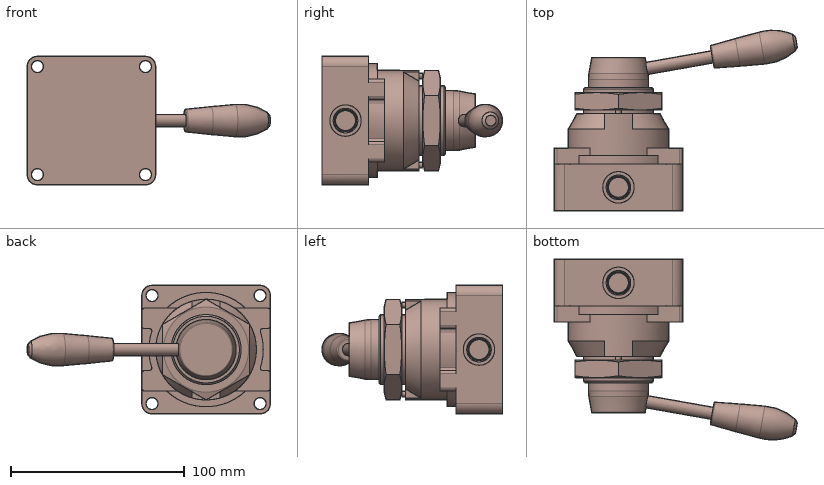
import cadquery as cq
import math


block_side = 74.0
block_depth = 26.9
block_corner_radius = 6.0
mount_hole_pitch = 62.1
mount_hole_diameter = 6.7

port_height = 13.6
port_diameter = 12.7
port_end_diameter = 11.5
port_depth = 16.8
port_chamfer = 0.7
port_spotface_diameter = 18.0
port_spotface_depth = 0.1

flange_radius = 32.9
flange_top = 31.9
lug_top = 36.1
flange_half_width = 22.7
lug_half_width = math.sqrt(flange_radius**2 - flange_half_width**2)
lug_edge_radius = 1.8
notch_half_width = 12.0
notch_root_radius = 1.4
notch_root_reach = math.sqrt(flange_radius**2 - notch_half_width**2)

barrel_radius = 29.0
cone_start = 47.0
cone_top_radius = 24.0
shoulder_top = 56.0
ridge_width = 16.0
neck_radius = 20.2
neck_top = 71.1
neck_chamfer = 1.0
pin_diameter = 3.4
pin_offset = 25.6

nut_bottom = 58.0
nut_top = 68.2
nut_across_flats = 50.1
nut_corner_radius = nut_across_flats / math.sqrt(3)
nut_turn = 30.0
nut_face_radius = 24.5
nut_chamfer_height = 1.1

hub_radius = 17.4
hub_straight_top = 75.7
hub_taper_start = 79.1
hub_taper_radius = 17.1
hub_top = 88.3
hub_top_radius = 15.4
hub_edge_radius = 0.4

lever_tilt = 10.0
lever_height = 79.1
rod_diameter = 7.1
grip_start = 54.7
grip_start_radius = 6.6
grip_start_fillet = 0.7
grip_cone_end = 69.7
grip_cone_radius = 8.1
grip_swell = 83.8
grip_swell_radius = 9.4
grip_belly = 93.1
grip_belly_radius = 8.8
grip_nose = 102.5
grip_nose_radius = 4.9
grip_end = 104.0
grip_end_radius = 3.1


def along_y(start):
    """Workplane at Y = start with local X = X, local Y = Z and extrusion toward +Y."""
    return cq.Workplane(cq.Plane(origin=(0, start, 0), xDir=(1, 0, 0), normal=(0, -1, 0)))


def disc(radius, start, end):
    return along_y(start).circle(radius).extrude(start - end)


def plate(width, height, start, end):
    return along_y(start).rect(width, height).extrude(start - end)


def make_block():
    block = plate(block_side, block_side, 0, block_depth).edges("|Y").fillet(block_corner_radius)
    holes = (
        along_y(0)
        .rect(mount_hole_pitch, mount_hole_pitch, forConstruction=True)
        .vertices()
        .circle(mount_hole_diameter / 2)
        .extrude(-block_depth)
    )
    return block.cut(holes)


def make_port():
    """Cutter for one tapered port with a shallow spotface, entering from the -X side."""
    hole_radius = port_diameter / 2
    end_radius = port_end_diameter / 2
    spotface_radius = port_spotface_diameter / 2
    cone_top = port_spotface_depth
    cone_bottom = cone_top + port_chamfer
    profile = [
        (0, 0),
        (0, spotface_radius),
        (cone_top, spotface_radius),
        (cone_top, hole_radius + port_chamfer),
        (cone_bottom, hole_radius),
        (port_depth, end_radius),
        (port_depth, 0),
    ]
    cutter = cq.Workplane("XY").polyline(profile).close().revolve(360, (0, 0), (1, 0))
    return cutter.translate((-block_side / 2, port_height, 0))


def make_flange():
    """Two round segments on the Z sides, beyond the lugs."""
    lug_band = plate(block_side, 2 * lug_half_width, block_depth, flange_top)
    return disc(flange_radius, block_depth, flange_top).cut(lug_band)


def make_lugs():
    """Lugs reaching the two X sides, with a notch in each side that has the flange curve as floor."""
    lugs = plate(block_side, 2 * lug_half_width, block_depth, lug_top)
    notches = plate(block_side, 2 * notch_half_width, block_depth, lug_top)
    notches = notches.cut(disc(flange_radius, block_depth, lug_top))
    lugs = lugs.cut(notches)
    lugs = lugs.edges("|Y").edges("<X or >X").fillet(lug_edge_radius)
    for x_side in (-1, 1):
        for z_side in (-1, 1):
            root = (x_side * notch_root_reach, (block_depth + lug_top) / 2, z_side * notch_half_width)
            lugs = lugs.edges(cq.selectors.NearestToPointSelector(root)).fillet(notch_root_radius)
    return lugs


def make_shoulder():
    """Barrel with a conical top, left at full radius in a ridge along Z."""
    cone = (
        cq.Workplane("XY")
        .polyline(
            [
                (0, block_depth),
                (barrel_radius, block_depth),
                (barrel_radius, cone_start),
                (cone_top_radius, shoulder_top),
                (0, shoulder_top),
            ]
        )
        .close()
        .revolve(360, (0, 0), (0, 1))
    )
    ridge = plate(ridge_width, 2 * barrel_radius, block_depth, shoulder_top)
    ridge = ridge.intersect(disc(barrel_radius, block_depth, shoulder_top))
    return cone.union(ridge)


def make_housing():
    housing = make_block()
    for turn in (0, 90, 180, 270):
        port = make_port().rotate((0, 0, 0), (0, 1, 0), turn)
        housing = housing.cut(port)
    housing = housing.union(make_flange()).union(make_lugs()).union(make_shoulder())
    neck = disc(neck_radius, shoulder_top, neck_top).faces(">Y").edges().chamfer(neck_chamfer)
    housing = housing.union(neck)
    for side in (-1, 1):
        pin = disc(pin_diameter / 2, shoulder_top, nut_bottom).translate((0, 0, side * pin_offset))
        housing = housing.union(pin)
    return housing


def make_nut():
    hexagon = (
        along_y(nut_bottom)
        .polygon(6, 2 * nut_corner_radius)
        .extrude(nut_bottom - nut_top)
        .rotate((0, 0, 0), (0, 1, 0), nut_turn)
    )
    envelope = (
        cq.Workplane("XY")
        .polyline(
            [
                (neck_radius, nut_bottom),
                (nut_face_radius, nut_bottom),
                (nut_corner_radius, nut_bottom + nut_chamfer_height),
                (nut_corner_radius, nut_top - nut_chamfer_height),
                (nut_face_radius, nut_top),
                (neck_radius, nut_top),
            ]
        )
        .close()
        .revolve(360, (0, 0), (0, 1))
    )
    return hexagon.intersect(envelope)


def make_hub():
    hub = (
        cq.Workplane("XY")
        .moveTo(0, neck_top)
        .lineTo(hub_radius, neck_top)
        .lineTo(hub_radius, hub_straight_top)
        .lineTo(hub_taper_radius, hub_taper_start)
        .lineTo(hub_top_radius, hub_top)
        .lineTo(0, hub_top)
        .close()
        .revolve(360, (0, 0), (0, 1))
    )
    return hub.faces(">Y").edges().fillet(hub_edge_radius)


def make_lever():
    """Rod and grip, built along X and then tilted and raised into place."""
    rod = cq.Workplane("YZ").circle(rod_diameter / 2).extrude(grip_swell)
    grip = (
        cq.Workplane("XY")
        .moveTo(grip_start, 0)
        .lineTo(grip_start, grip_start_radius)
        .lineTo(grip_cone_end, grip_cone_radius)
        .lineTo(grip_swell, grip_swell_radius)
        .threePointArc((grip_belly, grip_belly_radius), (grip_nose, grip_nose_radius))
        .lineTo(grip_end, grip_end_radius)
        .lineTo(grip_end, 0)
        .close()
        .revolve(360, (0, 0), (1, 0))
    )
    grip = grip.faces("<X").edges().fillet(grip_start_fillet)
    lever = rod.union(grip)
    return lever.rotate((0, 0, 0), (0, 0, 1), lever_tilt).translate((0, lever_height, 0))


def make_handle():
    return make_hub().union(make_lever())


housing = make_housing()
nut = make_nut()
handle = make_handle()

result = cq.Compound.makeCompound([housing.val(), nut.val(), handle.val()])